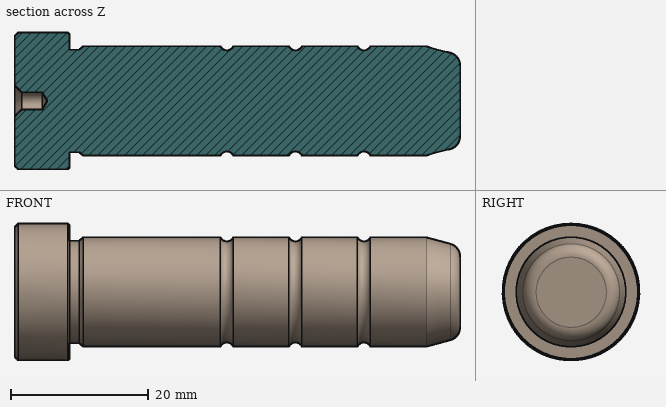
import math

import cadquery as cq

total_length = 65.0
head_radius = 10.0
head_length = 8.0
head_front_chamfer = 0.5
head_back_chamfer = 0.25

shank_radius = 8.0

undercut_radius = 7.5
undercut_end = 10.0
undercut_flank_angle = math.radians(40)

groove_count = 3
first_groove_start = 30.0
groove_pitch = 10.0
groove_width = 1.9
groove_depth = 0.6

taper_start = 60.0
taper_angle = math.radians(15)
nose_round = 2.0

countersink_radius = 2.25
pilot_radius = 1.25
countersink_half_angle = math.radians(45)
pilot_depth = 4.0
drill_tip_half_angle = math.radians(59)


def revolve_about_x(profile):
    """Close a half profile and turn it a full circle about the pin axis."""
    return profile.close().revolve(360, (0, 0, 0), (1, 0, 0))


def make_body():
    """Head, undercut, shank and rounded nose, without grooves or centre hole."""
    undercut_flank = (shank_radius - undercut_radius) / math.tan(undercut_flank_angle)
    taper_end_radius = shank_radius - (total_length - taper_start) * math.tan(taper_angle)

    body = revolve_about_x(
        cq.Workplane("XZ")
        .moveTo(0, 0)
        .lineTo(0, head_radius - head_front_chamfer)
        .lineTo(head_front_chamfer, head_radius)
        .lineTo(head_length - head_back_chamfer, head_radius)
        .lineTo(head_length, head_radius - head_back_chamfer)
        .lineTo(head_length, undercut_radius)
        .lineTo(undercut_end - undercut_flank, undercut_radius)
        .lineTo(undercut_end, shank_radius)
        .lineTo(taper_start, shank_radius)
        .lineTo(total_length, taper_end_radius)
        .lineTo(total_length, 0)
    )
    return body.faces(">X").edges().fillet(nose_round)


def make_groove(start):
    """Ring to cut away: an arc below the shank surface, running clear above it."""
    clear_radius = shank_radius + groove_depth
    end = start + groove_width
    return revolve_about_x(
        cq.Workplane("XZ")
        .moveTo(start, clear_radius)
        .lineTo(start, shank_radius)
        .threePointArc(
            (start + groove_width / 2, shank_radius - groove_depth),
            (end, shank_radius),
        )
        .lineTo(end, clear_radius)
    )


def make_centre_hole():
    """Countersink, pilot bore and conical drill tip."""
    countersink_depth = (countersink_radius - pilot_radius) / math.tan(countersink_half_angle)
    tip_length = pilot_radius / math.tan(drill_tip_half_angle)
    return revolve_about_x(
        cq.Workplane("XZ")
        .moveTo(0, 0)
        .lineTo(0, countersink_radius)
        .lineTo(countersink_depth, pilot_radius)
        .lineTo(pilot_depth, pilot_radius)
        .lineTo(pilot_depth + tip_length, 0)
    )


result = make_body()
for groove_index in range(groove_count):
    groove_start = first_groove_start + groove_index * groove_pitch
    result = result.cut(make_groove(groove_start))
result = result.cut(make_centre_hole())